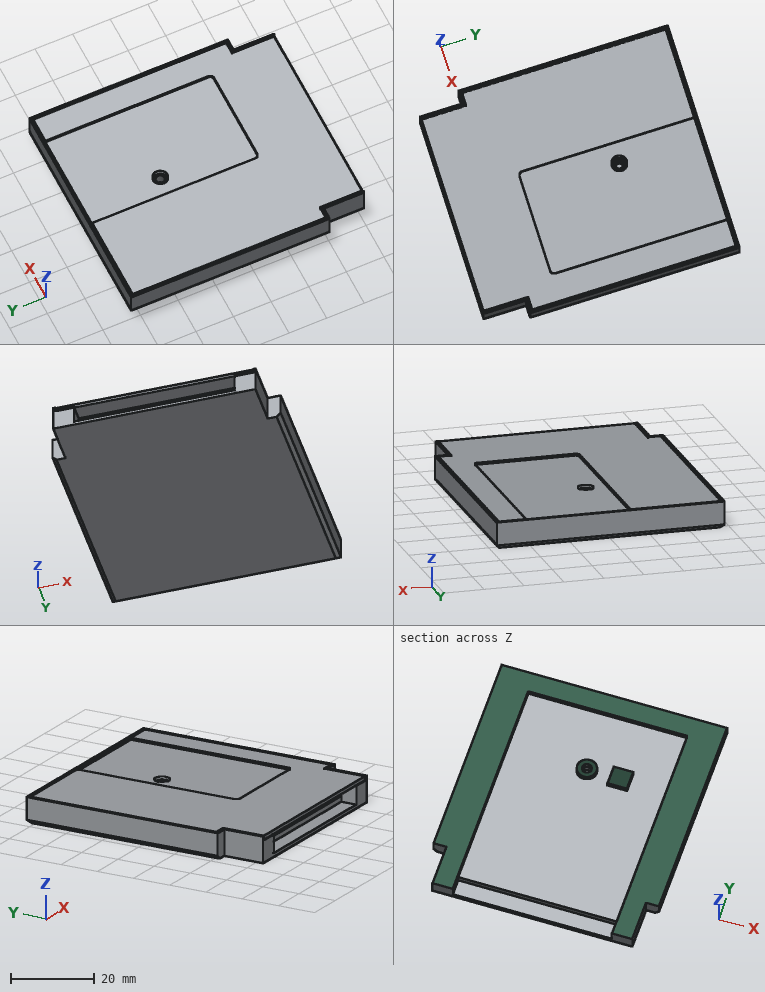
import cadquery as cq

BODY_WIDTH = 57.0
LENGTH = 63.5
HEIGHT = 6.8
NECK_WIDTH = 50.55
NECK_LENGTH = 10.7
EDGE_CHAMFER = 1.0

LID_THICKNESS = 1.0
RIM_WIDTH = 0.5
LID_GAP = 0.2
LEDGE_Z = HEIGHT - LID_THICKNESS

LABEL_LEFT = -5.15
LABEL_WIDTH = 26.15
LABEL_FRONT = 18.4
LABEL_DEPTH = 0.5
LABEL_CORNER_RADIUS = 1.0
LABEL_Z = HEIGHT - LABEL_DEPTH

MOUTH_WIDTH = 40.15
MOUTH_FLOOR = 1.0
MOUTH_DEPTH = 4.1
CHAMBER_FLOOR = 2.5
REAR_WALL = (NECK_WIDTH - MOUTH_WIDTH) / 2
CHAMBER_LENGTH = LENGTH - REAR_WALL - MOUTH_DEPTH

STANDOFF_HEIGHT = 1.5
PLATE_BOTTOM = CHAMBER_FLOOR + STANDOFF_HEIGHT
BOSS_DIAMETER = 5.0
BLOCK_SIZE = 5.0
BLOCK_X = 8.45

SCREW_Y = 42.2
PILOT_DIAMETER = 1.9
CLEARANCE_DIAMETER = 2.2
SCREW_HEAD_DIAMETER = 3.8
COUNTERSINK_DEPTH = (SCREW_HEAD_DIAMETER - CLEARANCE_DIAMETER) / 2
PILOT_BOTTOM = MOUTH_FLOOR


def cartridge_prism(side_inset, front_inset, bottom, height):
    """Upright prism of the wide-body, narrow-neck outline, moved inward by the insets."""
    body_x = BODY_WIDTH / 2 - side_inset
    neck_x = NECK_WIDTH / 2 - side_inset
    shoulder_y = NECK_LENGTH + side_inset
    rear_y = LENGTH - side_inset
    right_half = [
        (neck_x, front_inset),
        (neck_x, shoulder_y),
        (body_x, shoulder_y),
        (body_x, rear_y),
    ]
    left_half = [(-x, y) for x, y in reversed(right_half)]
    outline = cq.Workplane("XY").workplane(offset=bottom).polyline(right_half + left_half)
    return outline.close().extrude(height)


def box_from_front(width, front, length, bottom, top, center_x=0):
    """Box centred on center_x that runs back from the plane Y = front."""
    plan = cq.Workplane("XY").workplane(offset=bottom).center(center_x, front + length / 2)
    return plan.rect(width, length).extrude(top - bottom)


def screw_cutter():
    """Pilot, clearance hole and countersink, revolved about the screw axis."""
    pilot_radius = PILOT_DIAMETER / 2
    clearance_radius = CLEARANCE_DIAMETER / 2
    head_radius = SCREW_HEAD_DIAMETER / 2
    profile = [
        (0, PILOT_BOTTOM),
        (pilot_radius, PILOT_BOTTOM),
        (pilot_radius, CHAMBER_FLOOR),
        (clearance_radius, CHAMBER_FLOOR),
        (clearance_radius, LABEL_Z - COUNTERSINK_DEPTH),
        (head_radius, LABEL_Z),
        (0, LABEL_Z),
    ]
    half_section = cq.Workplane("XZ").polyline(profile).close()
    return half_section.revolve(360, (0, 0), (0, 1)).translate((0, SCREW_Y, 0))


def make_base():
    base = cartridge_prism(0, 0, 0, HEIGHT)
    base = base.faces("<Z").edges("<X or >X or >Y").chamfer(EDGE_CHAMFER)
    base = base.cut(cartridge_prism(RIM_WIDTH, 0, LEDGE_Z, LID_THICKNESS))
    base = base.cut(box_from_front(MOUTH_WIDTH, 0, MOUTH_DEPTH, MOUTH_FLOOR, LEDGE_Z))
    base = base.cut(box_from_front(MOUTH_WIDTH, MOUTH_DEPTH, CHAMBER_LENGTH, CHAMBER_FLOOR, LEDGE_Z))
    return base.cut(screw_cutter())


def make_lid():
    lid = cartridge_prism(RIM_WIDTH + LID_GAP, LID_GAP, LEDGE_Z, LID_THICKNESS)
    label_x = LABEL_LEFT + LABEL_WIDTH / 2
    label = box_from_front(LABEL_WIDTH, LABEL_FRONT, LENGTH - LABEL_FRONT, LABEL_Z, HEIGHT, label_x)
    label = label.edges("|Z and <Y").fillet(LABEL_CORNER_RADIUS)
    return lid.cut(label).cut(screw_cutter())


def make_insert():
    plate = box_from_front(MOUTH_WIDTH, MOUTH_DEPTH, CHAMBER_LENGTH, PLATE_BOTTOM, LEDGE_Z)
    floor = cq.Workplane("XY").workplane(offset=CHAMBER_FLOOR)
    boss = floor.center(0, SCREW_Y).circle(BOSS_DIAMETER / 2).extrude(STANDOFF_HEIGHT)
    block = floor.center(BLOCK_X, SCREW_Y).rect(BLOCK_SIZE, BLOCK_SIZE).extrude(STANDOFF_HEIGHT)
    return plate.union(boss).union(block).cut(screw_cutter())


base = make_base()
lid = make_lid()
insert = make_insert()

result = cq.Compound.makeCompound([base.val(), lid.val(), insert.val()])